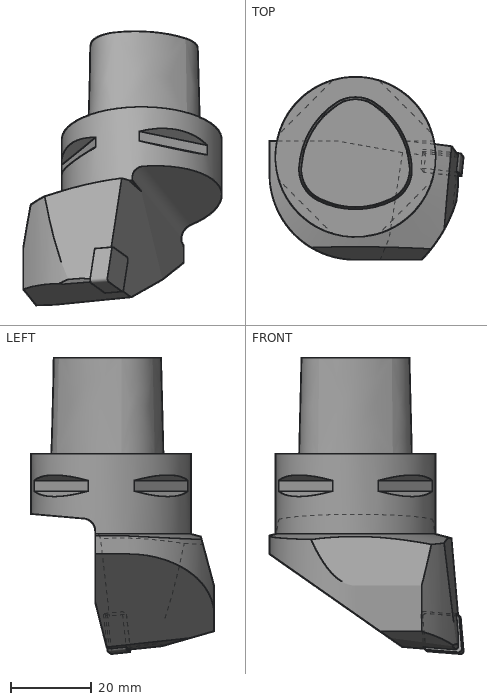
import cadquery as cq
import math

SHANK_HEIGHT = 24.0
LOBE_REACH = 14.95
FLANK_REACH = 13.1
FLANK_RADIUS = 20.8
FIRST_LOBE = 90
LOBE_COUNT = 3
LOBE_PITCH = 360 / LOBE_COUNT
SHANK_TAPER = math.degrees(math.atan(1 / 40))

FLANGE_RADIUS = 20.0
FLANGE_HEIGHT = 20.0
SLOT_Z = -8.0
SLOT_FLOOR = 17.6
SLOT_FLOOR_WIDTH = 2.6
SLOT_WALL_ANGLE = 30.0
SLOT_COUNT = 4
SLOT_CLEARANCE = 1.0

HEAD_FACE_Y = 4.0
RELIEF_RIM_Z = -15.05
RELIEF_SLOPE = 5.0
RELIEF_FILLET = 3.0

HEAD_RADIUS = 21.5
HEAD_FRONT_Y = -25.7
HEAD_FRONT_X = 16.5
BELLY_MIDDLE = (22.0, -18.4)
BELLY_END = (25.6, -9.6)
SHOULDER_ANGLE = 15.0
FRONT_BEVEL_Z = -32.9
FRONT_BEVEL_ANGLE = 15.0
BACK_SLOPE = 35.0
BACK_SLOPE_Z = -25.0
HEEL_Z = -44.3
HEEL_ANGLE = 16.0

TIP_X = 27.0
TIP_Z = -50.0
RAKE = math.tan(math.radians(6.0))
NOSE_ANGLE = 80.0
SIDE_LEAD = 5.5
INSERT_EDGE = 9.67
INSERT_THICKNESS = 4.76
NOSE_RADIUS = 0.8
INSERT_OVERHANG = 0.57
INSERT_RISE = 0.5
HEAD_NOSE_CHAMFER = 0.9

FAR = 70.0


def polar(radius, degrees):
    angle = math.radians(degrees)
    return cq.Vector(radius * math.cos(angle), radius * math.sin(angle))


def tan_deg(degrees):
    return math.tan(math.radians(degrees))


def make_shank():
    """Three lobe arcs joined by three tangent flank arcs, tapering upward."""
    flank_shift = FLANK_RADIUS - FLANK_REACH
    lobe_radius = (LOBE_REACH**2 + flank_shift**2 + LOBE_REACH * flank_shift - FLANK_RADIUS**2) / (
        2 * LOBE_REACH + flank_shift - 2 * FLANK_RADIUS
    )

    def seam(lobe_angle, flank_angle):
        flank_center = polar(-flank_shift, flank_angle)
        lobe_center = polar(LOBE_REACH - lobe_radius, lobe_angle)
        return flank_center + (lobe_center - flank_center).normalized() * FLANK_RADIUS

    start = seam(FIRST_LOBE, FIRST_LOBE - LOBE_PITCH / 2)
    outline = cq.Workplane("XY").moveTo(start.x, start.y)
    for index in range(LOBE_COUNT):
        lobe = FIRST_LOBE + index * LOBE_PITCH
        flank = lobe + LOBE_PITCH / 2
        outline = outline.threePointArc(polar(LOBE_REACH, lobe), seam(lobe, flank))
        outline = outline.threePointArc(polar(FLANK_REACH, flank), seam(lobe + LOBE_PITCH, flank))
    return outline.close().extrude(SHANK_HEIGHT, taper=SHANK_TAPER)


def make_flange():
    flange = cq.Workplane("XY").circle(FLANGE_RADIUS).extrude(-FLANGE_HEIGHT)
    floor_half = SLOT_FLOOR_WIDTH / 2
    mouth = FLANGE_RADIUS + SLOT_CLEARANCE
    mouth_half = floor_half + (mouth - SLOT_FLOOR) * tan_deg(SLOT_WALL_ANGLE)
    slot = (
        cq.Workplane("XZ")
        .polyline([
            (SLOT_FLOOR, SLOT_Z - floor_half),
            (mouth, SLOT_Z - mouth_half),
            (mouth, SLOT_Z + mouth_half),
            (SLOT_FLOOR, SLOT_Z + floor_half),
        ])
        .close()
        .extrude(FLANGE_RADIUS, both=True)
    )
    slot_pitch = 360 / SLOT_COUNT
    for index in range(SLOT_COUNT):
        flange = flange.cut(slot.rotate((0, 0, 0), (0, 0, 1), (index + 0.5) * slot_pitch))
    return flange


def make_relief():
    """Space above Y = HEAD_FACE_Y and below the sloping ceiling."""
    drop = (FLANGE_RADIUS - HEAD_FACE_Y) * tan_deg(RELIEF_SLOPE)
    outside = FAR * tan_deg(RELIEF_SLOPE)
    return (
        cq.Workplane("YZ")
        .polyline([
            (HEAD_FACE_Y, -FAR),
            (HEAD_FACE_Y, RELIEF_RIM_Z - drop),
            (HEAD_FACE_Y + FAR, RELIEF_RIM_Z - drop + outside),
            (HEAD_FACE_Y + FAR, -FAR),
        ])
        .close()
        .extrude(FAR, both=True)
        .edges(cq.selectors.NearestToPointSelector((0, HEAD_FACE_Y, RELIEF_RIM_Z - drop)))
        .fillet(RELIEF_FILLET)
    )


INSERT_PLANE = cq.Plane(
    origin=(TIP_X - NOSE_RADIUS, 0, TIP_Z + NOSE_RADIUS),
    xDir=(1, -RAKE, 0),
    normal=(RAKE, 1, -RAKE),
)
SIDE_EDGE = polar(1, 270 - SIDE_LEAD)
END_EDGE = polar(1, 270 - SIDE_LEAD - NOSE_ANGLE)
NOSE_DIRECTION = 90 - SIDE_LEAD - NOSE_ANGLE / 2


def tilted_rhombus(inset, edge, top, depth):
    """Rhombic prism in the insert frame; inset moves its two nose walls inward."""
    corner = polar((NOSE_RADIUS - inset) / math.sin(math.radians(NOSE_ANGLE / 2)), NOSE_DIRECTION)
    side = SIDE_EDGE * edge
    end = END_EDGE * edge
    corners = [corner, corner + side, corner + side + end, corner + end]
    return (
        cq.Workplane(INSERT_PLANE)
        .workplane(offset=top)
        .polyline([(point.x, point.y) for point in corners])
        .close()
        .extrude(-depth)
    )


def make_insert():
    rhombus = tilted_rhombus(0, INSERT_EDGE, 0, INSERT_THICKNESS)
    thickness_direction = cq.selectors.ParallelDirSelector(INSERT_PLANE.zDir)
    return rhombus.edges(thickness_direction).fillet(NOSE_RADIUS)


def make_head_wedge():
    """Rake face and the two walls beside the insert, with the nose chamfered."""
    wedge = tilted_rhombus(INSERT_OVERHANG, FAR, -INSERT_RISE, FAR)
    thickness_direction = cq.selectors.ParallelDirSelector(INSERT_PLANE.zDir)
    nose = cq.selectors.DirectionMinMaxSelector(cq.Vector(1, 0, -1), True)
    return wedge.edges(thickness_direction).edges(nose).chamfer(HEAD_NOSE_CHAMFER)


def make_head():
    arc_center_y = HEAD_FRONT_Y + HEAD_RADIUS
    arc_middle = polar(HEAD_RADIUS, 225) + cq.Vector(0, arc_center_y)
    head = (
        cq.Workplane("XY")
        .moveTo(-HEAD_RADIUS, HEAD_FACE_Y)
        .lineTo(-HEAD_RADIUS, arc_center_y)
        .threePointArc(arc_middle, (0, HEAD_FRONT_Y))
        .lineTo(HEAD_FRONT_X, HEAD_FRONT_Y)
        .threePointArc(BELLY_MIDDLE, BELLY_END)
        .lineTo(BELLY_END[0], HEAD_FACE_Y)
        .close()
        .extrude(TIP_Z)
    )

    shoulder_drop = (FAR - FLANGE_RADIUS) * tan_deg(SHOULDER_ANGLE)
    shoulder = (
        cq.Workplane("XZ")
        .polyline([
            (0, -FLANGE_HEIGHT),
            (FLANGE_RADIUS, -FLANGE_HEIGHT),
            (FAR, -FLANGE_HEIGHT - shoulder_drop),
            (FAR, -FAR),
            (0, -FAR),
        ])
        .close()
        .revolve(360, (0, 0), (0, 1))
    )

    lean = -FRONT_BEVEL_Z * tan_deg(FRONT_BEVEL_ANGLE)
    heel_run = (HEEL_Z + FAR) / tan_deg(HEEL_ANGLE)
    side_outline = (
        cq.Workplane("YZ")
        .polyline([
            (HEAD_FRONT_Y + lean, 0),
            (HEAD_FRONT_Y, FRONT_BEVEL_Z),
            (HEAD_FRONT_Y, HEEL_Z),
            (HEAD_FRONT_Y + heel_run, -FAR),
            (HEAD_FRONT_Y + heel_run, 0),
        ])
        .close()
        .extrude(FAR, both=True)
    )

    slope_run = (BACK_SLOPE_Z + FAR) / tan_deg(BACK_SLOPE)
    underside = (
        cq.Workplane("XZ")
        .polyline([
            (-HEAD_RADIUS, BACK_SLOPE_Z),
            (-HEAD_RADIUS + slope_run, -FAR),
            (-HEAD_RADIUS, -FAR),
        ])
        .close()
        .extrude(FAR, both=True)
    )
    return head.intersect(shoulder).intersect(side_outline).cut(underside).intersect(make_head_wedge())


insert = make_insert()
holder = make_shank().union(make_flange()).union(make_head()).cut(make_relief()).cut(insert)

result = cq.Compound.makeCompound([holder.val(), insert.val()])